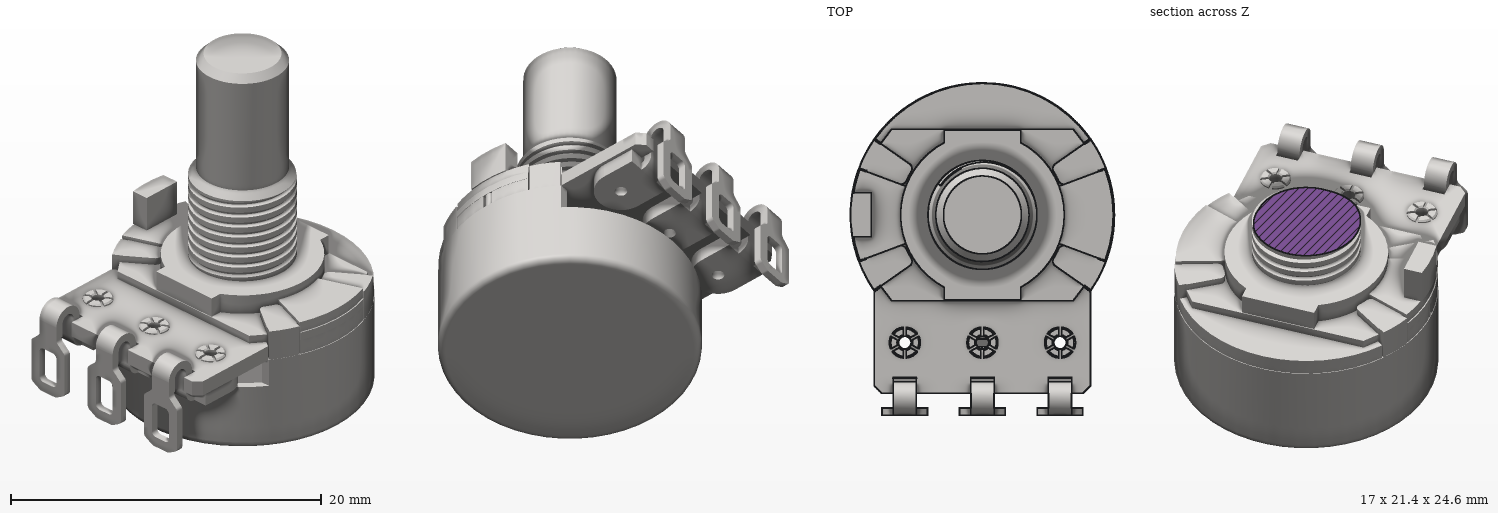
import cadquery as cq
import math

can_radius = 8.5
can_height = 6.6
can_wall = 0.505
can_floor = 0.5
can_bottom_fillet = 0.5
can_front_rim_height = 4.65
can_front_cut_y = -4.858

board_radius = 8.46
board_thickness = 1.05
board_top = can_height + board_thickness
tongue_width = 13.92
tongue_front_y = -11.5
tongue_chamfer = 0.5
edge_pin_radius = 0.37

cover_thickness = 0.57
cover_top = board_top + cover_thickness
cover_radius = 8.49
cover_half_depth = 5.5
cover_straight_half_width = 5.842
sector_radius = 8.41
sector_top = cover_top + 0.75
tab_top = cover_top + 0.5
tab_start_angle = 20.5
tab_end_angle = 35.0
tab_inner_radius = 5.36
tab_corner_fillet = 0.37
slit_width = 0.1
slit_inner_radius = 8.0

lug_width = 2.83
lug_inner_x = -7.15
lug_top = 11.4

flange_radius = 5.26
flange_bar_width = 4.92
flange_bar_half_depth = 5.45
flange_top = 9.6
thread_radius = 3.505
thread_pitch = 0.75
thread_depth = 0.25
thread_crest_width = 0.35
thread_root_width = 0.2
thread_turns = 9
thread_start_angle = 145
thread_start_drop = 0.65
bushing_chamfer = 0.505
bushing_top = 16.11
shaft_radius = 3.0
shaft_top = 24.6
shaft_chamfer = 0.5

terminal_pitch = 5.0
strip_thickness = 0.57
strip_width = 1.5
strip_end_z = 6.94
hook_outer_radius = 1.08
hook_center_z = 7.87
terminal_front_y = can_radius - 21.4
foot_bottom = 5.54
foot_radius = 1.75
foot_front_y = -10.516
foot_bend_radius = 0.8
notch_back_y = -10.43
eyelet_thickness = 0.5
eyelet_half_width = 1.48
eyelet_bottom = 2.58
eyelet_flat_half_width = 0.7
eyelet_side_bottom = 3.03
eyelet_side_top = 6.1
eyelet_neck_z = 6.75
eyelet_corner_fillet = 0.35
eyelet_slot_width = 1.5
eyelet_slot_bottom = 3.3
eyelet_slot_top = 5.8
eyelet_slot_fillet = 0.35

rivet_y = -8.22
rivet_radius = 0.996
rivet_height = 0.2
rivet_chamfer = 0.1
rivet_bore_radius = 0.405
rivet_mouth_radius = 0.505
rivet_groove_count = 6
rivet_groove_width = 0.2


def polar(radius, angle):
    """Point at a radius and an angle in degrees."""
    return (radius * math.cos(math.radians(angle)), radius * math.sin(math.radians(angle)))


def cylinder(radius, bottom, top):
    """Upright cylinder on the shaft axis."""
    return cq.Workplane("XY").workplane(offset=bottom).circle(radius).extrude(top - bottom)


def box(x_range, y_range, z_range):
    """Box between two limits along each axis."""
    lengths = [high - low for low, high in (x_range, y_range, z_range)]
    corner = (x_range[0], y_range[0], z_range[0])
    return cq.Workplane("XY").box(*lengths, centered=False).translate(corner)


def ring_sector(inner_radius, outer_radius, half_angle, bottom, top):
    """Part of a ring, symmetric about +X."""
    return (
        cq.Workplane("XY").workplane(offset=bottom)
        .moveTo(*polar(inner_radius, -half_angle))
        .lineTo(*polar(outer_radius, -half_angle))
        .threePointArc((outer_radius, 0), polar(outer_radius, half_angle))
        .lineTo(*polar(inner_radius, half_angle))
        .threePointArc((inner_radius, 0), polar(inner_radius, -half_angle))
        .close()
        .extrude(top - bottom)
    )


def turned(shape, angle):
    """Shape turned about the shaft axis."""
    return shape.rotate((0, 0, 0), (0, 0, 1), angle)


def make_can():
    can = cylinder(can_radius, 0, can_height).faces("<Z").edges().fillet(can_bottom_fillet)
    can = can.cut(cylinder(can_radius - can_wall, can_floor, can_height))
    front_cut = box(
        (-can_radius, can_radius),
        (-can_radius, can_front_cut_y),
        (can_front_rim_height, can_height),
    )
    return can.cut(front_cut)


def make_board():
    tongue = box(
        (-tongue_width / 2, tongue_width / 2),
        (tongue_front_y, can_front_cut_y),
        (can_height, board_top),
    ).edges("|Z and <Y").chamfer(tongue_chamfer)
    board = cylinder(board_radius, can_height, board_top).union(tongue)
    for index in (-1, 0, 1):
        center_x = index * terminal_pitch
        board = board.cut(box(
            (center_x - strip_width / 2, center_x + strip_width / 2),
            (tongue_front_y, notch_back_y),
            (can_height, board_top),
        ))
    edge_notch = box(
        (-board_radius - 0.25, edge_pin_radius - board_radius),
        (-edge_pin_radius, edge_pin_radius),
        (can_height, board_top),
    )
    edge_pin = cylinder(edge_pin_radius, can_height, board_top)
    return board.cut(edge_notch).union(edge_pin.translate((edge_pin_radius - board_radius, 0, 0)))


def make_cover():
    shoulder = polar(slit_inner_radius, tab_end_angle)
    beyond_edge = polar(1.5 * cover_radius, tab_end_angle)
    quarter = [(cover_straight_half_width, cover_half_depth), shoulder, beyond_edge]
    right_side = quarter + [(x, -y) for x, y in reversed(quarter)]
    left_side = [(-x, -y) for x, y in right_side]
    cover = (
        cq.Workplane("XY").workplane(offset=board_top)
        .polyline(right_side + left_side).close()
        .extrude(cover_thickness)
        .intersect(cylinder(cover_radius, board_top, cover_top))
    )
    tab_half_angle = (tab_end_angle - tab_start_angle) / 2
    tab_middle_angle = (tab_end_angle + tab_start_angle) / 2
    tab = (
        ring_sector(tab_inner_radius, cover_radius, tab_half_angle, cover_top, tab_top)
        .edges("|Z and <X").fillet(tab_corner_fillet)
    )
    leg = ring_sector(slit_inner_radius, cover_radius, tab_half_angle, can_height, tab_top)
    tab = tab.union(leg)
    sector = ring_sector(flange_radius - 0.25, sector_radius, tab_start_angle, cover_top, sector_top)
    for side_angle in (0, 180):
        cover = cover.union(turned(sector, side_angle))
        for tab_angle in (-tab_middle_angle, tab_middle_angle):
            cover = cover.cut(turned(leg, side_angle + tab_angle))
            cover = cover.union(turned(tab, side_angle + tab_angle))
    return cover


def make_tab_slits():
    """Narrow radial gaps down both sides of the four folded tabs."""
    slit = box(
        (slit_inner_radius, can_radius + 0.25),
        (-slit_width / 2, slit_width / 2),
        (can_height, tab_top),
    )
    slits = cq.Workplane("XY")
    for side_angle in (0, 180):
        for edge_angle in (tab_start_angle, tab_end_angle):
            slits = slits.add(turned(slit, side_angle + edge_angle))
            slits = slits.add(turned(slit, side_angle - edge_angle))
    return slits.combine()


def make_lug():
    lug = box((-can_radius, lug_inner_x), (-lug_width / 2, lug_width / 2), (sector_top, lug_top))
    return lug.intersect(cylinder(can_radius, sector_top, lug_top))


def make_flange():
    bar = box(
        (-flange_bar_width / 2, flange_bar_width / 2),
        (-flange_bar_half_depth, flange_bar_half_depth),
        (cover_top, flange_top),
    )
    return cylinder(flange_radius, cover_top, flange_top).union(bar)


def make_bushing():
    """Bushing with a right-hand helical groove that leaves the thread standing."""
    blank = cylinder(thread_radius, flange_top, bushing_top)
    overshoot = 0.07
    outer_radius = thread_radius + overshoot
    root_radius = thread_radius - thread_depth
    mouth_width = thread_pitch - thread_crest_width
    helix = cq.Wire.makeHelix(thread_pitch, thread_turns * thread_pitch, root_radius)
    groove = (
        cq.Workplane("XZ")
        .polyline([
            (root_radius, -thread_root_width / 2),
            (outer_radius, -mouth_width / 2),
            (outer_radius, mouth_width / 2),
            (root_radius, thread_root_width / 2),
        ]).close()
        .sweep(cq.Workplane(helix), isFrenet=True)
        .translate((0, 0, flange_top - thread_start_drop))
    )
    groove = turned(groove, thread_start_angle)
    return blank.cut(groove).intersect(blank.faces(">Z").chamfer(bushing_chamfer))


def make_shaft():
    return cylinder(shaft_radius, flange_top, shaft_top).faces(">Z").chamfer(shaft_chamfer)


def make_terminal():
    """Terminal centred on X = 0: foot under the board, hooked strip and soldering eyelet."""
    foot_height = can_height - foot_bottom
    foot = (
        cq.Workplane("XY").workplane(offset=foot_bottom)
        .moveTo(-foot_radius, foot_front_y)
        .lineTo(foot_radius, foot_front_y)
        .lineTo(foot_radius, rivet_y)
        .threePointArc((0, rivet_y + foot_radius), (-foot_radius, rivet_y))
        .close()
        .extrude(foot_height)
    )

    hook_center_y = terminal_front_y + hook_outer_radius
    hook_inner_radius = hook_outer_radius - strip_thickness
    back_leg_front_y = hook_center_y + hook_inner_radius
    back_leg_back_y = hook_center_y + hook_outer_radius
    bend_center_y = back_leg_front_y + foot_bend_radius
    bend_center_z = foot_bottom + foot_bend_radius
    bend_inner_radius = foot_bend_radius - strip_thickness
    diagonal = math.sqrt(0.5)
    strip = (
        cq.Workplane("YZ")
        .moveTo(bend_center_y, foot_bottom)
        .threePointArc(
            (bend_center_y - foot_bend_radius * diagonal, bend_center_z - foot_bend_radius * diagonal),
            (back_leg_front_y, bend_center_z),
        )
        .lineTo(back_leg_front_y, hook_center_z)
        .threePointArc(
            (hook_center_y, hook_center_z + hook_inner_radius),
            (hook_center_y - hook_inner_radius, hook_center_z),
        )
        .lineTo(hook_center_y - hook_inner_radius, strip_end_z)
        .lineTo(terminal_front_y, strip_end_z)
        .lineTo(terminal_front_y, hook_center_z)
        .threePointArc(
            (hook_center_y, hook_center_z + hook_outer_radius),
            (back_leg_back_y, hook_center_z),
        )
        .lineTo(back_leg_back_y, bend_center_z)
        .threePointArc(
            (bend_center_y - bend_inner_radius * diagonal, bend_center_z - bend_inner_radius * diagonal),
            (bend_center_y, foot_bottom + strip_thickness),
        )
        .close()
        .extrude(strip_width / 2, both=True)
    )

    right_edge = [
        (eyelet_flat_half_width, eyelet_bottom),
        (eyelet_half_width, eyelet_side_bottom),
        (eyelet_half_width, eyelet_side_top),
        (strip_width / 2, eyelet_neck_z),
        (strip_width / 2, hook_center_z),
    ]
    left_edge = [(-x, z) for x, z in reversed(right_edge)]
    eyelet_plane = cq.Workplane("XZ", origin=(0, terminal_front_y, 0))
    eyelet = (
        eyelet_plane.polyline(right_edge + left_edge).close()
        .extrude(-eyelet_thickness)
        .edges("|Y").edges(cq.selectors.BoxSelector(
            (-eyelet_half_width - 0.25, terminal_front_y - 0.25, eyelet_bottom - 0.25),
            (eyelet_half_width + 0.25, back_leg_front_y, eyelet_neck_z + 0.25),
        ))
        .fillet(eyelet_corner_fillet)
    )
    slot = box(
        (-eyelet_slot_width / 2, eyelet_slot_width / 2),
        (terminal_front_y, terminal_front_y + eyelet_thickness),
        (eyelet_slot_bottom, eyelet_slot_top),
    ).edges("|Y").fillet(eyelet_slot_fillet)
    return foot.union(strip).union(eyelet).cut(slot)


def make_rivet_head():
    """Flared rivet end at the origin, split by radial grooves."""
    mouth_chamfer = rivet_mouth_radius - rivet_bore_radius
    head = (
        cylinder(rivet_radius, 0, rivet_height)
        .faces(">Z").chamfer(rivet_chamfer)
        .cut(cylinder(rivet_bore_radius, 0, rivet_height))
        .faces(">Z").edges("%CIRCLE").edges(cq.selectors.RadiusNthSelector(0))
        .chamfer(mouth_chamfer)
    )
    groove = box(
        (rivet_bore_radius, rivet_radius),
        (-rivet_groove_width / 2, rivet_groove_width / 2),
        (0, rivet_height),
    )
    first_groove_angle = 90
    for index in range(rivet_groove_count):
        head = head.cut(turned(groove, first_groove_angle + index * 360 / rivet_groove_count))
    return head


result = make_can().union(make_board()).union(make_cover()).cut(make_tab_slits())
for part in (make_lug(), make_flange(), make_bushing(), make_shaft()):
    result = result.union(part)

terminal = make_terminal()
rivet_head = make_rivet_head()
rivet_bore = cylinder(rivet_bore_radius, foot_bottom, board_top)
for index in (-1, 0, 1):
    rivet_x = index * terminal_pitch
    result = (
        result.union(terminal.translate((rivet_x, 0, 0)))
        .union(rivet_head.translate((rivet_x, rivet_y, board_top)))
        .cut(rivet_bore.translate((rivet_x, rivet_y, 0)))
    )